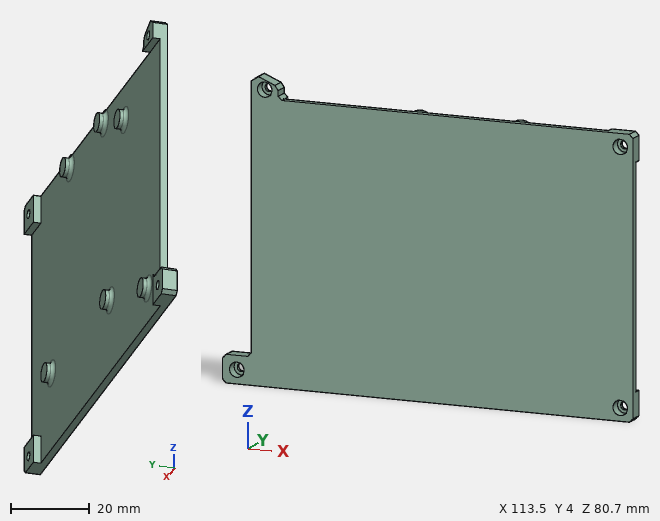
import cadquery as cq

length = 113.5
height = 80.7
total_depth = 4.0
plate_depth = total_depth / 2

plate_left = 8.0
plate_top = 75.0
foot_tab_height = 7.5
corner_chamfer = 1.0
peak_x = 9.9
peak_drop = 1.4
shoulder_x = 14.5
shoulder_z = 78.8
top_tab_right = 15.4
top_tab_side_z = 77.5

pad_size = 7.6

screw_diameter = 2.3
head_diameter = 4.0
head_depth = 3.0
right_hole_inset = 3.5
right_hole_x = length - right_hole_inset
screw_holes = [
    (4.0, 3.7),
    (right_hole_x, right_hole_inset),
    (right_hole_x, plate_top - right_hole_inset),
    (11.7, 77.4),
]

post_diameter = 5.0
post_fillet = 1.0
upper_post_z = 72.1
posts = [
    (18.3, 9.5),
    (37.3, 65.5),
    (49.0, 20.1),
    (54.0, upper_post_z),
    (82.0, upper_post_z),
    (97.3, 21.3),
]


def front_face():
    """Sketch plane on the front face, with X to the right and Z up; negative extrusion goes to +Y."""
    return cq.Workplane(cq.Plane(origin=(0, 0, 0), xDir=(1, 0, 0), normal=(0, -1, 0)))


def outline(depth):
    """Front outline of the plate with both tabs, extruded from the front face."""
    c = corner_chamfer
    points = [
        (c, 0),
        (length - c, 0),
        (length, c),
        (length, plate_top - c),
        (length - c, plate_top),
        (top_tab_right + c, plate_top),
        (top_tab_right, plate_top + c),
        (top_tab_right, top_tab_side_z),
        (shoulder_x, shoulder_z),
        (peak_x, height),
        (plate_left, height - peak_drop),
        (plate_left, foot_tab_height + c),
        (plate_left - c, foot_tab_height),
        (c, foot_tab_height),
        (0, foot_tab_height - c),
        (0, c),
    ]
    return front_face().polyline(points).close().extrude(-depth)


def pad_area(left, bottom, right, top):
    """Rectangular prism that picks one full-depth pad out of the outline."""
    prism = cq.Workplane("XY").box(right - left, total_depth, top - bottom, centered=False)
    return prism.translate((left, 0, bottom))


def pads():
    """Full-depth pads: foot tab, top tab and the two right-hand corners."""
    right_pad_left = length - pad_size
    areas = pad_area(0, 0, plate_left, foot_tab_height + corner_chamfer)
    areas = areas.union(pad_area(plate_left, plate_top, top_tab_right + corner_chamfer, height))
    areas = areas.union(pad_area(right_pad_left, 0, length, pad_size))
    areas = areas.union(pad_area(right_pad_left, plate_top - pad_size, length, plate_top))
    return outline(total_depth).intersect(areas)


def post(x, z):
    """Round post on the back face, widened at its base by a concave fillet."""
    radius = post_diameter / 2
    profile = (
        cq.Workplane("XY")
        .moveTo(0, plate_depth)
        .lineTo(0, total_depth)
        .lineTo(radius, total_depth)
        .lineTo(radius, plate_depth + post_fillet)
        .radiusArc((radius + post_fillet, plate_depth), -post_fillet)
        .close()
    )
    return profile.revolve(360, (0, 0, 0), (0, 1, 0)).translate((x, 0, z))


result = outline(plate_depth).union(pads())
for x, z in posts:
    result = result.union(post(x, z))

screws = front_face().pushPoints(screw_holes).circle(screw_diameter / 2).extrude(-total_depth)
heads = front_face().pushPoints(screw_holes).circle(head_diameter / 2).extrude(-head_depth)
result = result.cut(screws).cut(heads)